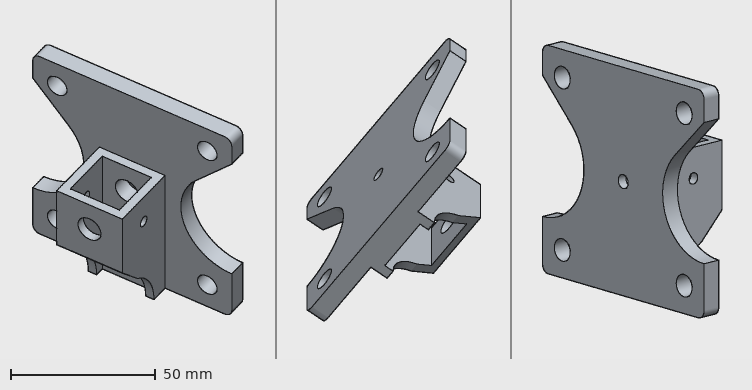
import cadquery as cq
import math

plate_size = 82.0
plate_thickness = 7.0
corner_radius = 3.0
mount_hole_spacing = 61.8
mount_hole_diameter = 8.0
side_cutout_radius = 21.0

socket_size = 27.1
socket_wall = 3.45
socket_top_z = 11.15
relief_leg = 27.15
relief_radius = 20.0

screw_diameter = 5.0
screw_head_diameter = 9.4
screw_head_recess_depth = 6.8
pin_diameter = 4.0

half_plate = plate_size / 2
socket_front_y = -plate_thickness - socket_size
socket_center_y = -plate_thickness - socket_size / 2
socket_height = socket_top_z + half_plate
cavity_size = socket_size - 2 * socket_wall
cavity_back_y = -plate_thickness - socket_wall


def cylinder_along_y(diameter, start_y, length, x=0, z=0):
    """Cylinder running from start_y towards -Y."""
    return cq.Workplane("XZ", origin=(x, start_y, z)).circle(diameter / 2).extrude(length)


def side_cutout(side):
    """Half-round edge cutout with a 45 degree tangent flank above it; side is -1 or 1."""
    edge_x = side * half_plate
    radius = side_cutout_radius
    tangent_offset = radius * math.sqrt(0.5)
    flank_top_z = radius * math.sqrt(2)
    round_part = cylinder_along_y(2 * radius, 0, plate_thickness, x=edge_x)
    flank_part = (
        cq.Workplane("XZ")
        .moveTo(edge_x, 0)
        .lineTo(edge_x, flank_top_z)
        .lineTo(edge_x - side * tangent_offset, tangent_offset)
        .close()
        .extrude(plate_thickness)
    )
    return round_part.union(flank_part)


def make_plate():
    plate = (
        cq.Workplane("XZ")
        .rect(plate_size, plate_size)
        .extrude(plate_thickness)
        .edges("|Y")
        .fillet(corner_radius)
    )
    for side in (-1, 1):
        plate = plate.cut(side_cutout(side))
    mount_holes = (
        cq.Workplane("XZ")
        .rect(mount_hole_spacing, mount_hole_spacing, forConstruction=True)
        .vertices()
        .circle(mount_hole_diameter / 2)
        .extrude(plate_thickness)
    )
    return plate.cut(mount_holes)


def socket_relief():
    """Lower front cutout: a 45 degree bevel that runs down into a round scoop about the lower front edge."""
    bevel_distance = relief_leg * math.sqrt(0.5)
    meeting_angle = math.radians(45) + math.acos(bevel_distance / relief_radius)
    mid_arc_angle = meeting_angle / 2
    return (
        cq.Workplane("YZ", origin=(0, socket_front_y, -half_plate))
        .lineTo(relief_radius, 0)
        .threePointArc(
            (relief_radius * math.cos(mid_arc_angle), relief_radius * math.sin(mid_arc_angle)),
            (relief_radius * math.cos(meeting_angle), relief_radius * math.sin(meeting_angle)),
        )
        .lineTo(0, relief_leg)
        .close()
        .extrude(socket_size / 2, both=True)
    )


def make_socket():
    section = cq.Workplane("XY", origin=(0, socket_center_y, -half_plate))
    outer = section.rect(socket_size, socket_size).extrude(socket_height)
    cavity = section.rect(cavity_size, cavity_size).extrude(socket_height)
    return outer.cut(cavity).cut(socket_relief())


body = make_plate().union(make_socket())

access_hole = cylinder_along_y(screw_head_diameter, socket_center_y, socket_size / 2)
head_recess = cylinder_along_y(
    screw_head_diameter, cavity_back_y + screw_head_recess_depth, screw_head_recess_depth
)
shank_hole = cylinder_along_y(screw_diameter, 0, -socket_center_y)

pin_hole = (
    cq.Workplane("YZ", origin=(0, socket_center_y, 0))
    .circle(pin_diameter / 2)
    .extrude(socket_size, both=True)
)

result = body.cut(access_hole).cut(head_recess).cut(shank_hole).cut(pin_hole)